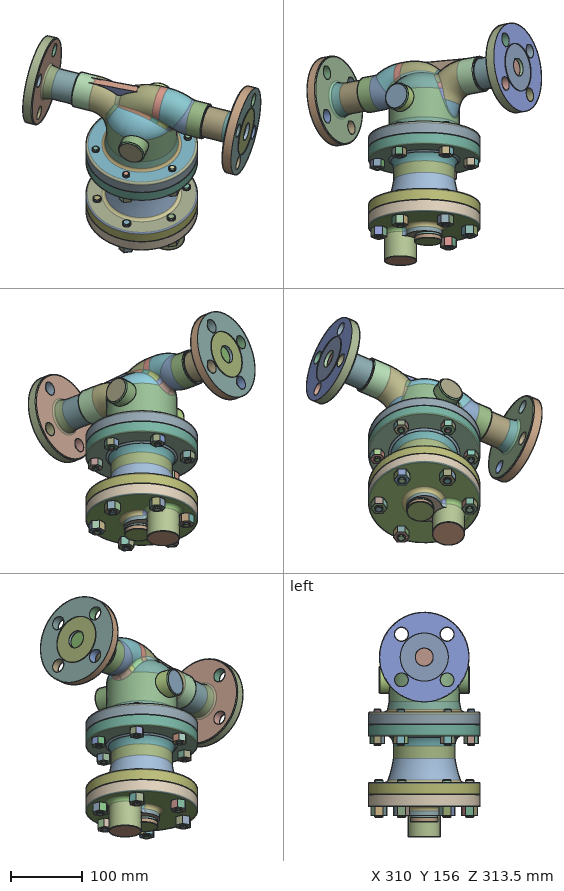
import cadquery as cq
import math

OVERALL_HEIGHT = 313.5
OVERALL_LENGTH = 310.0

PIPE_FLANGE_DIA = 125.0
PIPE_AXIS_Z = OVERALL_HEIGHT - PIPE_FLANGE_DIA / 2
RAISED_FACE_DIA = 67.0
RAISED_FACE_HEIGHT = 1.0
PIPE_FLANGE_THICKNESS = 13.8
PIPE_FLANGE_EDGE = 1.3
PIPE_HOLE_DIA = 19.0
PIPE_HOLE_CIRCLE_DIA = 90.0
BORE_DIA = 25
BORE_DEPTH = 5.0
STUB_DIA = 44
STUB_FLARE_DIA = 48.5
STUB_FLARE_LENGTH = 12.0
STUB_FLARE_SAG = 0.3
STUB_FILLET = 2.5
SLEEVE_DIA = 50.0
SLEEVE_END_X = 96.0
SLEEVE_EDGE = 1.3

INLET_BEND_X = -69.3
INLET_BEND_RADIUS = 40.5
INLET_BEND_ANGLE = 75
INLET_TAIL_LENGTH = 25

OUTLET_BEND_X = 74.3
OUTLET_BEND_RADIUS = 30.0
OUTLET_CREST_RADIUS = 44.8
OUTLET_BEND_ANGLE = 32
CREST_LENGTH = 10.5
DOME_BEND_RADIUS = 53.5
DOME_BEND_ANGLE = 65

WEB_THICKNESS = 10.7
WEB_START_X = INLET_BEND_X
WEB_SLOPE = 0.08
WEB_START_OVERLAP = 11.0
WEB_END_X = 3
WEB_BASE_Z = 244.5

HOUSING_DIA = 98.0
DOME_BASE_Z = 231.7
DOME_HEIGHT = 34.5
HOUSING_TAPER_Z = 188.7
SHOULDER_DIA = 102.8
FLANGE_DIA = 156.0
FLANGE_STEP_DIA = 112.2
SHOULDER_HEIGHT = 3
GASKET_DIA = 142.3
GASKET_THICKNESS = 0.5
FLANGE_BOTTOM_EDGE = 1.3
UPPER_FLANGE_TOP = 174.5
UPPER_FLANGE_SPLIT = 157.0
UPPER_FLANGE_BOTTOM = 140.8
UPPER_FLANGE_EDGE = 3
LOWER_FLANGE_TOP = 76.2
LOWER_FLANGE_SPLIT = 59.5
LOWER_FLANGE_BOTTOM = 42.3
LOWER_FLANGE_EDGE = 2.0
NECK_DIA = 86.0
NECK_TOP_Z = 126.5
NECK_BOTTOM_Z = 109.7
NECK_COLLAR_DIA = 93.5
NECK_COLLAR_Z = 138.5
NECK_FOOT_DIA = 101.0
NECK_COLLAR_SAG = 1.0
NECK_FOOT_SAG = 0.5
SHOULDER_SAG = 1.0

SIDE_BOSS_DIA = 38.0
SIDE_BOSS_X = 6.3
SIDE_BOSS_Z = 219.0
SIDE_BOSS_REACH = 63.3
SIDE_BOSS_EDGE = 1.5

DRAIN_DIA = 45.0
DRAIN_X = 39.2
DRAIN_EDGE = 0.5
PAD_DIA = 50.0
PAD_BOTTOM_Z = 30.0
PLUG_DIA = 38.0
PLUG_X = -6.3
PLUG_BOTTOM_Z = 20.7
PLUG_EDGE = 0.5
PLUG_HEAD_HEIGHT = 6.3
PLUG_NECK_DIA = 37.0

BOLT_COUNT = 6
BOLT_PROTRUSION = 3.8
BOLT_TIP = 2.5
BOLT_EDGE = 1.3
UPPER_BOLT_CIRCLE_DIA = 130.7
UPPER_BOLT_DIA = 10.0
UPPER_NUT_WIDTH = 17.5
UPPER_NUT_HEIGHT = 10.7
LOWER_BOLT_CIRCLE_DIA = 126.5
LOWER_BOLT_DIA = 12.0
LOWER_NUT_WIDTH = 19.0
LOWER_NUT_HEIGHT = 12.5

SEAM_FILLET = 6.0


def bow_point(start, end, sag):
    """Middle of an arc from start to end that bows sag to the right of its chord."""
    dx = end[0] - start[0]
    dz = end[1] - start[1]
    chord = math.hypot(dx, dz)
    return (start[0] + end[0]) / 2 + sag * dz / chord, (start[1] + end[1]) / 2 - sag * dx / chord


def turned(profile):
    """Revolve a closed XZ half-profile about the Z axis."""
    return profile.close().revolve(360, (0, 0, 0), (0, 1, 0))


def cylinder_x(x_start, x_end, diameter):
    """Cylinder on the pipe axis between two X positions."""
    return (
        cq.Workplane("YZ", origin=(x_start, 0, PIPE_AXIS_Z))
        .circle(diameter / 2)
        .extrude(x_end - x_start)
    )


def cylinder_z(x, y, z_bottom, z_top, diameter):
    """Vertical cylinder between two heights."""
    return cq.Workplane("XY", origin=(x, y, z_bottom)).circle(diameter / 2).extrude(z_top - z_bottom)


def outlet_pipe_end():
    """Pipe flange with bolt holes, raised face and flared stub on the +X side."""
    face_x = OVERALL_LENGTH / 2
    front_x = face_x - RAISED_FACE_HEIGHT
    back_x = front_x - PIPE_FLANGE_THICKNESS
    fillet_x = back_x - STUB_FILLET
    flare_x = fillet_x - STUB_FLARE_LENGTH
    flange = cylinder_x(back_x, front_x, PIPE_FLANGE_DIA).faces("<X").edges().chamfer(PIPE_FLANGE_EDGE)
    hole_pitch = PIPE_HOLE_CIRCLE_DIA / math.sqrt(2)
    holes = (
        cq.Workplane("YZ", origin=(back_x, 0, PIPE_AXIS_Z))
        .rect(hole_pitch, hole_pitch, forConstruction=True)
        .vertices()
        .circle(PIPE_HOLE_DIA / 2)
        .extrude(PIPE_FLANGE_THICKNESS)
    )
    flare_start = (flare_x, PIPE_AXIS_Z + STUB_DIA / 2)
    flare_end = (fillet_x, PIPE_AXIS_Z + STUB_FLARE_DIA / 2)
    fillet_end = (back_x, flare_end[1] + STUB_FILLET)
    fillet_sag = STUB_FILLET * (1 - math.sqrt(0.5))
    stub = (
        cq.Workplane("XZ")
        .moveTo(OUTLET_BEND_X, PIPE_AXIS_Z)
        .lineTo(OUTLET_BEND_X, flare_start[1])
        .lineTo(*flare_start)
        .threePointArc(bow_point(flare_start, flare_end, STUB_FLARE_SAG), flare_end)
        .threePointArc(bow_point(flare_end, fillet_end, fillet_sag), fillet_end)
        .lineTo(back_x, PIPE_AXIS_Z)
        .close()
        .revolve(360, (0, PIPE_AXIS_Z, 0), (1, PIPE_AXIS_Z, 0))
    )
    raised_face = cylinder_x(front_x, face_x, RAISED_FACE_DIA)
    bore = cylinder_x(face_x - BORE_DEPTH, face_x, BORE_DIA)
    return flange.cut(holes).union(stub).union(raised_face).cut(bore)


def sleeve(x_inner, x_outer):
    """Straight length of the thick pipe, chamfered on its outer rim."""
    outer_side = ">X" if x_outer > x_inner else "<X"
    pipe = cylinder_x(min(x_inner, x_outer), max(x_inner, x_outer), SLEEVE_DIA)
    return pipe.faces(outer_side).edges().chamfer(SLEEVE_EDGE)


def arc_points(start, center, sweep_angle):
    """Middle and end of the arc that turns start about center by sweep_angle degrees."""
    points = []
    for angle in (sweep_angle / 2, sweep_angle):
        turn = math.radians(angle)
        dx = start[0] - center[0]
        dz = start[1] - center[1]
        points.append((
            center[0] + dx * math.cos(turn) - dz * math.sin(turn),
            center[1] + dx * math.sin(turn) + dz * math.cos(turn),
        ))
    return points


def sweep_sleeve(path, start_x):
    """Sweep the sleeve section along a path starting on the pipe axis."""
    section = cq.Workplane("YZ", origin=(start_x, 0, PIPE_AXIS_Z)).circle(SLEEVE_DIA / 2)
    return section.sweep(path)


def inlet_elbow():
    """Thick inlet pipe that turns down into the side of the housing."""
    start = (INLET_BEND_X, PIPE_AXIS_Z)
    center = (INLET_BEND_X, PIPE_AXIS_Z - INLET_BEND_RADIUS)
    middle, end = arc_points(start, center, -INLET_BEND_ANGLE)
    angle = math.radians(INLET_BEND_ANGLE)
    path = (
        cq.Workplane("XZ")
        .moveTo(*start)
        .threePointArc(middle, end)
        .line(INLET_TAIL_LENGTH * math.cos(angle), -INLET_TAIL_LENGTH * math.sin(angle))
    )
    return sleeve(INLET_BEND_X, -SLEEVE_END_X).union(sweep_sleeve(path, INLET_BEND_X))


def outlet_passage():
    """S-shaped passage from the outlet pipe over a crest and down into the dome."""
    start = (OUTLET_BEND_X, PIPE_AXIS_Z)
    rise_center = (OUTLET_BEND_X, PIPE_AXIS_Z + OUTLET_BEND_RADIUS)
    rise_middle, rise_end = arc_points(start, rise_center, -OUTLET_BEND_ANGLE)
    angle = math.radians(OUTLET_BEND_ANGLE)
    crest_center = (
        rise_end[0] - OUTLET_CREST_RADIUS * math.sin(angle),
        rise_end[1] - OUTLET_CREST_RADIUS * math.cos(angle),
    )
    crest_middle, crest_end = arc_points(rise_end, crest_center, OUTLET_BEND_ANGLE)
    dome_start = (crest_end[0] - CREST_LENGTH, crest_end[1])
    dome_center = (dome_start[0], dome_start[1] - DOME_BEND_RADIUS)
    dome_middle, dome_end = arc_points(dome_start, dome_center, DOME_BEND_ANGLE)
    path = (
        cq.Workplane("XZ")
        .moveTo(*start)
        .threePointArc(rise_middle, rise_end)
        .threePointArc(crest_middle, crest_end)
        .lineTo(*dome_start)
        .threePointArc(dome_middle, dome_end)
    )
    return sleeve(OUTLET_BEND_X, SLEEVE_END_X).union(sweep_sleeve(path, OUTLET_BEND_X))


def web():
    """Flat web bridging the top of the inlet elbow and the outlet passage."""
    crown_z = PIPE_AXIS_Z + SLEEVE_DIA / 2
    start_x = WEB_START_X - WEB_START_OVERLAP
    return (
        cq.Workplane("XZ")
        .moveTo(start_x, WEB_BASE_Z)
        .lineTo(start_x, crown_z - WEB_START_OVERLAP * WEB_SLOPE)
        .lineTo(WEB_END_X, crown_z + (WEB_END_X - WEB_START_X) * WEB_SLOPE)
        .lineTo(WEB_END_X, WEB_BASE_Z)
        .close()
        .extrude(WEB_THICKNESS / 2, both=True)
    )


def flange_pair(z_bottom, z_split, z_top, top_edge):
    """Two mating flanges with a thin gasket between them."""
    gasket_bottom = z_split - GASKET_THICKNESS / 2
    gasket_top = z_split + GASKET_THICKNESS / 2
    lower = cylinder_z(0, 0, z_bottom, gasket_bottom, FLANGE_DIA)
    lower = lower.faces("<Z").edges().fillet(FLANGE_BOTTOM_EDGE)
    upper = cylinder_z(0, 0, gasket_top, z_top, FLANGE_DIA).faces(">Z").edges().fillet(top_edge)
    gasket = cylinder_z(0, 0, gasket_bottom, gasket_top, GASKET_DIA)
    return lower.union(gasket).union(upper)


def domed_housing():
    """Housing with a flared shoulder at its base and an elliptical dome."""
    radius = HOUSING_DIA / 2
    step = (FLANGE_STEP_DIA / 2, UPPER_FLANGE_TOP)
    shoulder = (SHOULDER_DIA / 2, UPPER_FLANGE_TOP + SHOULDER_HEIGHT)
    return turned(
        cq.Workplane("XZ")
        .moveTo(0, UPPER_FLANGE_SPLIT)
        .lineTo(FLANGE_STEP_DIA / 2, UPPER_FLANGE_SPLIT)
        .lineTo(*step)
        .threePointArc(bow_point(step, shoulder, -SHOULDER_SAG), shoulder)
        .lineTo(radius, HOUSING_TAPER_Z)
        .lineTo(radius, DOME_BASE_Z)
        .ellipseArc(radius, DOME_HEIGHT, 0, 90, sense=1)
    )


def neck():
    """Waisted neck joining the two flange pairs."""
    step = (FLANGE_STEP_DIA / 2, LOWER_FLANGE_TOP)
    foot = (NECK_FOOT_DIA / 2, LOWER_FLANGE_TOP + SHOULDER_HEIGHT)
    waist_bottom = (NECK_DIA / 2, NECK_BOTTOM_Z)
    waist_top = (NECK_DIA / 2, NECK_TOP_Z)
    collar = (NECK_COLLAR_DIA / 2, NECK_COLLAR_Z)
    return turned(
        cq.Workplane("XZ")
        .moveTo(0, LOWER_FLANGE_SPLIT)
        .lineTo(FLANGE_STEP_DIA / 2, LOWER_FLANGE_SPLIT)
        .lineTo(*step)
        .threePointArc(bow_point(step, foot, -SHOULDER_SAG), foot)
        .threePointArc(bow_point(foot, waist_bottom, -NECK_FOOT_SAG), waist_bottom)
        .lineTo(*waist_top)
        .threePointArc(bow_point(waist_top, collar, -NECK_COLLAR_SAG), collar)
        .lineTo(NECK_COLLAR_DIA / 2 + SHOULDER_HEIGHT, UPPER_FLANGE_BOTTOM)
        .lineTo(0, UPPER_FLANGE_BOTTOM)
    )


def side_bosses():
    """Round bosses on the front and back of the housing."""
    return (
        cq.Workplane("XZ", origin=(SIDE_BOSS_X, 0, SIDE_BOSS_Z))
        .circle(SIDE_BOSS_DIA / 2)
        .extrude(SIDE_BOSS_REACH, both=True)
        .faces("<Y or >Y")
        .edges()
        .chamfer(SIDE_BOSS_EDGE)
    )


def edges_at_height(z, whole_edge):
    """Select edges within a thin layer around the pad and drain, by whole edge or by edge center."""
    layer = 0.3
    reach = DRAIN_X + DRAIN_DIA / 2 + layer
    return cq.selectors.BoxSelector((-reach, -reach, z - layer), (reach, reach, z + layer), whole_edge)


def lower_flanges_with_outlets():
    """Lower flange pair carrying the drain pipe and the blended round pad with its plug."""
    flanges = flange_pair(LOWER_FLANGE_BOTTOM, LOWER_FLANGE_SPLIT, LOWER_FLANGE_TOP, LOWER_FLANGE_EDGE)
    drain = cylinder_z(DRAIN_X, 0, 0, LOWER_FLANGE_SPLIT, DRAIN_DIA).faces("<Z").edges().chamfer(DRAIN_EDGE)
    pad = cylinder_z(0, 0, PAD_BOTTOM_Z, LOWER_FLANGE_SPLIT, PAD_DIA)
    body = flanges.union(pad).union(drain)
    pad_middle_z = (PAD_BOTTOM_Z + LOWER_FLANGE_BOTTOM) / 2
    upright_seams = edges_at_height(pad_middle_z, whole_edge=False)
    base_seams = edges_at_height(LOWER_FLANGE_BOTTOM, whole_edge=True)
    body = body.edges(upright_seams + base_seams).fillet(SEAM_FILLET)
    head_top = PLUG_BOTTOM_Z + PLUG_HEAD_HEIGHT
    head = cylinder_z(PLUG_X, 0, PLUG_BOTTOM_Z, head_top, PLUG_DIA).faces("<Z").edges().chamfer(PLUG_EDGE)
    plug_neck = cylinder_z(PLUG_X, 0, head_top, PAD_BOTTOM_Z, PLUG_NECK_DIA)
    return body.union(plug_neck).union(head)


def bolt_ring(flange_top, flange_bottom, circle_dia, bolt_dia, nut_width, nut_height):
    """Bolts through a flange pair, each with a hexagon nut underneath."""
    ring = cq.Workplane("XY")
    bolt_bottom = flange_bottom - nut_height - BOLT_TIP
    nut_corners = nut_width / math.cos(math.pi / 6)
    for i in range(BOLT_COUNT):
        angle = math.pi / 2 + 2 * math.pi * i / BOLT_COUNT
        x = circle_dia / 2 * math.cos(angle)
        y = circle_dia / 2 * math.sin(angle)
        bolt = cylinder_z(x, y, bolt_bottom, flange_top + BOLT_PROTRUSION, bolt_dia)
        bolt = bolt.faces("<Z or >Z").edges().chamfer(BOLT_EDGE)
        nut = (
            cq.Workplane("XY", origin=(x, y, flange_bottom - nut_height))
            .transformed(rotate=(0, 0, 90))
            .polygon(6, nut_corners)
            .extrude(nut_height)
        )
        ring = ring.union(bolt).union(nut)
    return ring


result = domed_housing().union(inlet_elbow()).union(outlet_passage())
result = result.edges("%BSPLINE").fillet(SEAM_FILLET)

outlet_end = outlet_pipe_end()
inlet_end = outlet_end.mirror("YZ")
upper_flanges = flange_pair(UPPER_FLANGE_BOTTOM, UPPER_FLANGE_SPLIT, UPPER_FLANGE_TOP, UPPER_FLANGE_EDGE)
lower_flanges = lower_flanges_with_outlets()
result = result.union(outlet_end).union(inlet_end).union(upper_flanges).union(neck()).union(lower_flanges)

result = result.union(web()).union(side_bosses())

upper_bolts = bolt_ring(
    UPPER_FLANGE_TOP,
    UPPER_FLANGE_BOTTOM,
    UPPER_BOLT_CIRCLE_DIA,
    UPPER_BOLT_DIA,
    UPPER_NUT_WIDTH,
    UPPER_NUT_HEIGHT,
)
lower_bolts = bolt_ring(
    LOWER_FLANGE_TOP,
    LOWER_FLANGE_BOTTOM,
    LOWER_BOLT_CIRCLE_DIA,
    LOWER_BOLT_DIA,
    LOWER_NUT_WIDTH,
    LOWER_NUT_HEIGHT,
)
result = result.union(upper_bolts).union(lower_bolts)